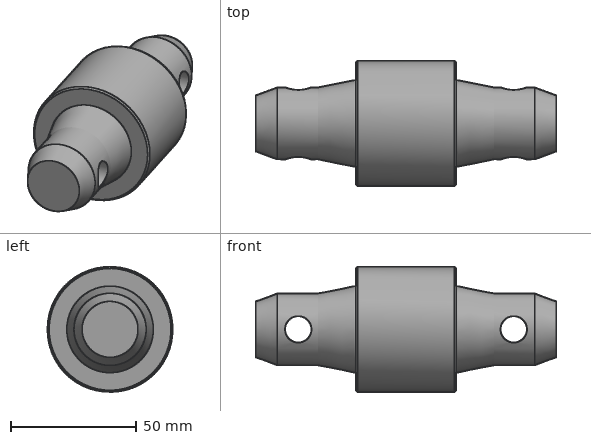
import cadquery as cq

total_length = 120.0
half_length = total_length / 2

collar_diameter = 50.0
collar_length = 40.0
collar_chamfer = 0.7

pin_diameter = 28.8
tip_diameter = 22.3
tip_length = 8.8
root_diameter = 34.5
shoulder_from_end = 25.0
root_land_length = 0.7

hole_diameter = 10.5
hole_from_end = 17.0


def make_pin_profile():
    """Half section of both pins, running from tip to tip above the X axis."""
    tip_radius = tip_diameter / 2
    pin_radius = pin_diameter / 2
    root_radius = root_diameter / 2
    tip_x = half_length - tip_length
    shoulder_x = half_length - shoulder_from_end
    root_x = collar_length / 2 + root_land_length
    return (
        cq.Workplane("XY")
        .moveTo(-half_length, 0)
        .lineTo(-half_length, tip_radius)
        .lineTo(-tip_x, pin_radius)
        .lineTo(-shoulder_x, pin_radius)
        .lineTo(-root_x, root_radius)
        .lineTo(root_x, root_radius)
        .lineTo(shoulder_x, pin_radius)
        .lineTo(tip_x, pin_radius)
        .lineTo(half_length, tip_radius)
        .lineTo(half_length, 0)
        .close()
    )


def make_collar():
    """Central cylinder with both rims chamfered."""
    return (
        cq.Workplane("YZ")
        .circle(collar_diameter / 2)
        .extrude(collar_length / 2, both=True)
        .edges("%CIRCLE")
        .chamfer(collar_chamfer)
    )


def make_cross_holes():
    """One cutter per pin, passing through it along Y."""
    hole_x = half_length - hole_from_end
    return (
        cq.Workplane("XZ")
        .pushPoints([(-hole_x, 0), (hole_x, 0)])
        .circle(hole_diameter / 2)
        .extrude(pin_diameter, both=True)
    )


pins = make_pin_profile().revolve(360, (0, 0, 0), (1, 0, 0))
result = pins.union(make_collar()).cut(make_cross_holes())